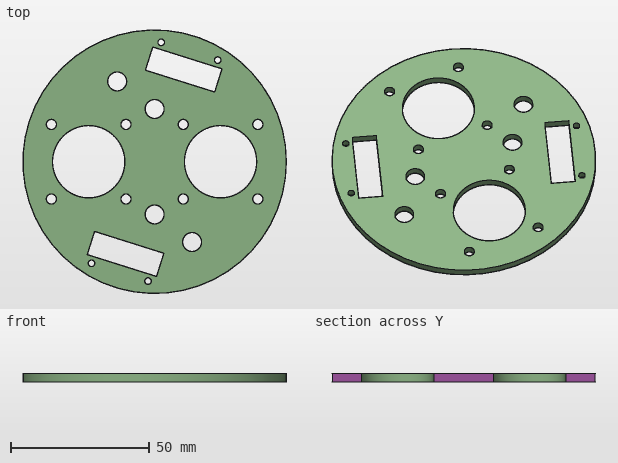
import cadquery as cq
import math

PLATE_DIAMETER = 95.25
PLATE_THICKNESS = 3.175

OPENING_DIAMETER = 26.04
OPENING_OFFSET = PLATE_DIAMETER / 4
MOUNT_HOLE_DIAMETER = 3.58
MOUNT_CIRCLE_RADIUS = 19.05
MOUNT_HOLE_COUNT = 4
MOUNT_START_ANGLE = 45.0

MEDIUM_HOLE_DIAMETER = 6.76
AXIS_HOLE_RADIUS = 19.05
AXIS_HOLE_ANGLE = 90.0
SIDE_HOLE_RADIUS = 32.0
SIDE_HOLE_ANGLE = 115.0

SLOT_LENGTH = 26.16
SLOT_WIDTH = 8.71
SLOT_RADIUS = 34.925
SLOT_ANGLE = 72.5
SCREW_HOLE_DIAMETER = 2.3
SCREW_SPACING = 21.4
SCREW_OUTWARD_OFFSET = 6.92

FULL_TURN = 360.0
HALF_TURN = FULL_TURN / 2


def polar_point(radius, angle):
    """XY position at a radius and an angle in degrees from +X."""
    return (radius * math.cos(math.radians(angle)), radius * math.sin(math.radians(angle)))


def opposite_pair(radius, angle):
    """Two positions facing each other across the plate centre."""
    return [polar_point(radius, angle), polar_point(radius, angle + HALF_TURN)]


def drill(plate, points, diameter):
    """Cut round through holes at the given XY positions."""
    cutter = cq.Workplane("XY").pushPoints(points).circle(diameter / 2).extrude(PLATE_THICKNESS)
    return plate.cut(cutter)


def mount_points(center_x):
    """Mounting hole positions around one large opening."""
    points = []
    for index in range(MOUNT_HOLE_COUNT):
        x, y = polar_point(MOUNT_CIRCLE_RADIUS, MOUNT_START_ANGLE + index * FULL_TURN / MOUNT_HOLE_COUNT)
        points.append((center_x + x, y))
    return points


def slot_cutter(angle):
    """Slot and its two screw holes, with the slot centred at the given polar angle."""
    slot = cq.Workplane("XY").center(SLOT_RADIUS, 0).rect(SLOT_WIDTH, SLOT_LENGTH).extrude(PLATE_THICKNESS)
    screws = (
        cq.Workplane("XY")
        .center(SLOT_RADIUS + SCREW_OUTWARD_OFFSET, 0)
        .pushPoints([(0, -SCREW_SPACING / 2), (0, SCREW_SPACING / 2)])
        .circle(SCREW_HOLE_DIAMETER / 2)
        .extrude(PLATE_THICKNESS)
    )
    return slot.add(screws).combine().rotate((0, 0, 0), (0, 0, 1), angle)


plate = cq.Workplane("XY").circle(PLATE_DIAMETER / 2).extrude(PLATE_THICKNESS)

for opening_x in (-OPENING_OFFSET, OPENING_OFFSET):
    plate = drill(plate, [(opening_x, 0)], OPENING_DIAMETER)
    plate = drill(plate, mount_points(opening_x), MOUNT_HOLE_DIAMETER)

plate = drill(plate, opposite_pair(AXIS_HOLE_RADIUS, AXIS_HOLE_ANGLE), MEDIUM_HOLE_DIAMETER)
plate = drill(plate, opposite_pair(SIDE_HOLE_RADIUS, SIDE_HOLE_ANGLE), MEDIUM_HOLE_DIAMETER)

for slot_angle in (SLOT_ANGLE, SLOT_ANGLE + HALF_TURN):
    plate = plate.cut(slot_cutter(slot_angle))

result = plate